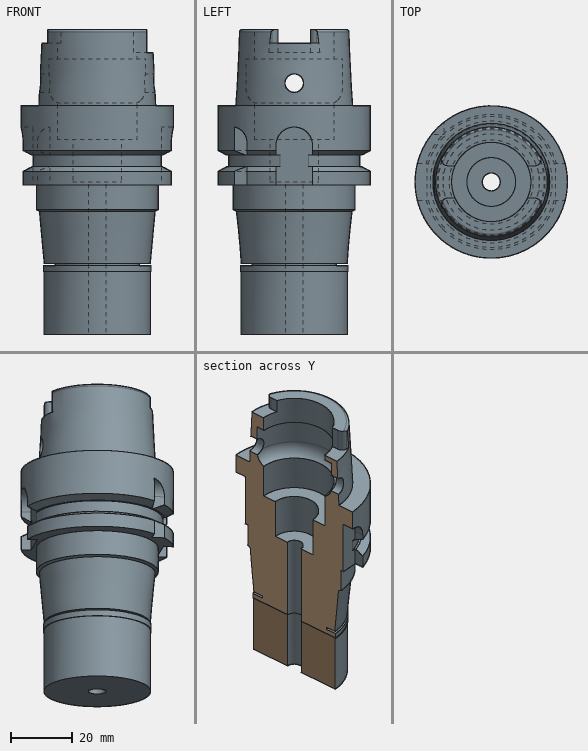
import cadquery as cq
import math

total_length = 100.0
coolant_radius = 2.9

nut_radius = 17.5
nut_top = 20.6

collar_radius = 17.7
collar_top = 22.6
relief_radius = 13.8
relief_top = 23.2
nose_bottom_radius = 17.4
nose_top_radius = 19.0
nose_top = 40.4
neck_bottom = 40.9
neck_radius = 20.0

flange_radius = 25.0
flange_bottom = 49.0
flange_top = 75.0
groove_radius = 21.5
groove_centre = 56.9
groove_floor_width = 3.8
groove_mouth_width = 6.8
groove_ledge_radius = 22.2

taper_base_radius = 19.2
taper_diameter_ratio = 0.1
taper_top_radius = taper_base_radius - (total_length - flange_top) * taper_diameter_ratio / 2
rim_fillet = 0.9
mouth_radius = 13.0
mouth_lip_bottom = 90.3
chamber_radius = 15.8
chamber_curve_top = 80.4
chamber_curve_radius = 5.0
chamber_floor = 64.0
pipe_bore_radius = 8.0
pipe_bore_bottom = 50.0
access_hole_radius = 3.0
access_hole_height = 82.4

drive_slot_width = 10.6
drive_slot_floors = {-1: 95.5, 1: 92.4}
tab_half_length = 16.3
tab_corner_radius = 2.0

key_slot_width = 12.0
key_slot_top = 68.0
key_slot_floor = 21.0

notch_width = 10.2
notch_top = 68.1
notch_floor = 15.5
notch_near_wall = 15.5


def turned(profile):
    """Solid of revolution about Z from (radius, height) points that start and end on the axis."""
    return cq.Workplane("XZ").polyline(profile).close().revolve(360, (0, 0, 0), (0, 1, 0))


def bore(radius, bottom, top):
    return cq.Workplane("XY").workplane(offset=bottom).circle(radius).extrude(top - bottom)


def outer_form():
    floor_half = groove_floor_width / 2
    mouth_half = groove_mouth_width / 2
    body = turned([
        (0, nut_top),
        (collar_radius, nut_top),
        (collar_radius, collar_top),
        (relief_radius, collar_top),
        (relief_radius, relief_top),
        (nose_bottom_radius, relief_top),
        (nose_top_radius, nose_top),
        (neck_radius, neck_bottom),
        (neck_radius, flange_bottom),
        (flange_radius, flange_bottom),
        (flange_radius, groove_centre - mouth_half),
        (groove_ledge_radius, groove_centre - floor_half),
        (groove_radius, groove_centre - floor_half),
        (groove_radius, groove_centre + floor_half),
        (groove_ledge_radius, groove_centre + floor_half),
        (flange_radius, groove_centre + mouth_half),
        (flange_radius, flange_top),
        (taper_base_radius, flange_top),
        (taper_top_radius, total_length),
        (0, total_length),
    ])
    return body.faces(">Z").edges().fillet(rim_fillet)


def inner_form():
    """Mouth, clamping chamber curving in to a narrower bore, coolant pipe bore and through hole."""
    curve_centre = chamber_radius - chamber_curve_radius
    end_angle = math.acos((mouth_radius - curve_centre) / chamber_curve_radius)
    curve_end = (mouth_radius, chamber_curve_top - chamber_curve_radius * math.sin(end_angle))
    curve_middle = (
        curve_centre + chamber_curve_radius * math.cos(end_angle / 2),
        chamber_curve_top - chamber_curve_radius * math.sin(end_angle / 2),
    )
    return (
        cq.Workplane("XZ")
        .moveTo(0, nut_top)
        .lineTo(coolant_radius, nut_top)
        .lineTo(coolant_radius, pipe_bore_bottom)
        .lineTo(pipe_bore_radius, pipe_bore_bottom)
        .lineTo(pipe_bore_radius, chamber_floor)
        .lineTo(mouth_radius, chamber_floor)
        .lineTo(*curve_end)
        .threePointArc(curve_middle, (chamber_radius, chamber_curve_top))
        .lineTo(chamber_radius, mouth_lip_bottom)
        .lineTo(mouth_radius, mouth_lip_bottom)
        .lineTo(mouth_radius, total_length)
        .lineTo(0, total_length)
        .close()
        .revolve(360, (0, 0, 0), (0, 1, 0))
    )


def access_hole():
    return (
        cq.Workplane("YZ")
        .center(0, access_hole_height)
        .circle(access_hole_radius)
        .extrude(taper_base_radius, both=True)
    )


def drive_slot(side):
    """Slot through one side of the rim; its walls round outward onto flat tab ends."""
    floor = drive_slot_floors[side]
    half_width = drive_slot_width / 2
    wall_end = tab_half_length - tab_corner_radius
    tab_end = half_width + tab_corner_radius
    diagonal = tab_corner_radius * math.sqrt(0.5)
    arc_x = wall_end + diagonal
    arc_y = tab_end - diagonal
    return (
        cq.Workplane("XY")
        .workplane(offset=floor)
        .moveTo(0, -half_width)
        .lineTo(side * wall_end, -half_width)
        .threePointArc((side * arc_x, -arc_y), (side * tab_half_length, -tab_end))
        .lineTo(side * tab_half_length, -taper_base_radius)
        .lineTo(side * flange_radius, -taper_base_radius)
        .lineTo(side * flange_radius, taper_base_radius)
        .lineTo(side * tab_half_length, taper_base_radius)
        .lineTo(side * tab_half_length, tab_end)
        .threePointArc((side * arc_x, arc_y), (side * wall_end, half_width))
        .lineTo(0, half_width)
        .close()
        .extrude(total_length - floor)
    )


def round_topped_slot(side, centre_y, width, top, floor_x):
    """Slot open at the flange underside, cut along X from outside as far as floor_x."""
    radius = width / 2
    return (
        cq.Workplane("YZ")
        .workplane(offset=side * floor_x)
        .moveTo(centre_y - radius, flange_bottom)
        .lineTo(centre_y - radius, top - radius)
        .threePointArc((centre_y, top), (centre_y + radius, top - radius))
        .lineTo(centre_y + radius, flange_bottom)
        .close()
        .extrude(side * (flange_radius - floor_x))
    )


def make_holder():
    body = outer_form().cut(inner_form()).cut(access_hole())
    for side in (-1, 1):
        body = body.cut(drive_slot(side))
        body = body.cut(round_topped_slot(side, 0, key_slot_width, key_slot_top, key_slot_floor))
    notch_centre = notch_near_wall + notch_width / 2
    return body.cut(round_topped_slot(-1, notch_centre, notch_width, notch_top, notch_floor))


def make_nut():
    return bore(nut_radius, 0, nut_top).cut(bore(coolant_radius, 0, nut_top))


holder = make_holder()
nut = make_nut()

result = cq.Compound.makeCompound([holder.val(), nut.val()])